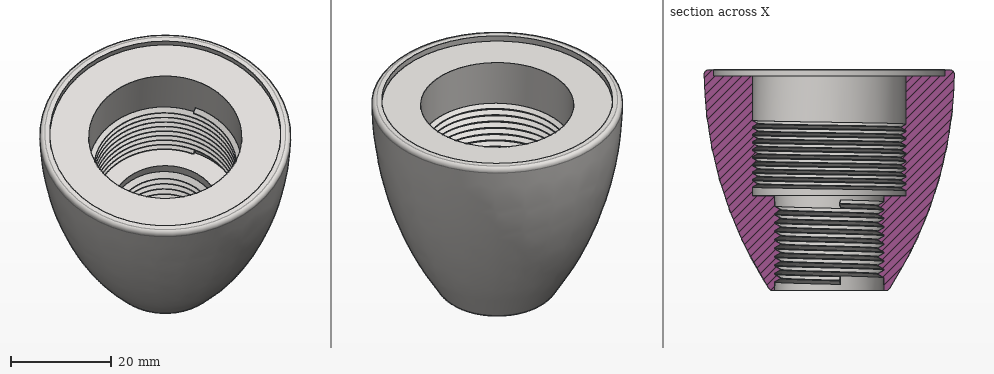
import cadquery as cq
import math

height = 44.0
max_radius = 25.0
rim_round = 1.0
waist_radius = 21.05
waist_height = 19.4
base_radius = 12.15
base_bevel_width = 0.5
base_bevel_height = 0.5

recess_radius = max_radius - 2 * rim_round
recess_depth = 1.25
recess_floor = height - recess_depth

socket_radius = 15.25
socket_crest_radius = 14.25
socket_pitch = 1.5
socket_entry_depth = 8.85
socket_turns = 9
socket_thread_end_angle = 90.0
socket_floor = recess_floor - socket_entry_depth - (socket_turns + 1) * socket_pitch

hole_radius = 10.85
hole_crest_radius = 9.65
hole_pitch = 1.7
hole_turns = 9
hole_thread_end_angle = -12.0

crest_flat = 0.15
flank_angle = 30.0
root_overlap = 0.1


def make_body():
    """Revolve the curved cup outline around Z."""
    shoulder = height - rim_round
    corner = rim_round * math.sqrt(0.5)
    return (
        cq.Workplane("XZ")
        .moveTo(0, 0)
        .lineTo(base_radius - base_bevel_width, 0)
        .lineTo(base_radius, base_bevel_height)
        .threePointArc((waist_radius, waist_height), (max_radius, shoulder))
        .threePointArc(
            (max_radius - rim_round + corner, shoulder + corner),
            (max_radius - rim_round, height),
        )
        .lineTo(0, height)
        .close()
        .revolve(360, (0, 0, 0), (0, 1, 0))
    )


def bore(radius, bottom, top):
    """Cylinder to remove between two heights."""
    return cq.Workplane("XY").workplane(offset=bottom).circle(radius).extrude(top - bottom)


def thread_ridge(root_radius, crest_radius, pitch, turns, top, end_angle):
    """Right-handed internal ridge whose upper end reaches height top at end_angle."""
    ridge_root = root_radius + root_overlap
    rise = math.tan(math.radians(flank_angle))
    half_crest = crest_flat / 2
    half_root = half_crest + (ridge_root - crest_radius) * rise
    half_wall = half_crest + (root_radius - crest_radius) * rise
    helix = cq.Wire.makeHelix(pitch, turns * pitch, root_radius)
    ridge = (
        cq.Workplane("XZ")
        .polyline([
            (ridge_root, -half_root),
            (crest_radius, -half_crest),
            (crest_radius, half_crest),
            (ridge_root, half_root),
        ])
        .close()
        .sweep(cq.Workplane(obj=helix), isFrenet=True)
    )
    start_height = top - half_wall - turns * pitch
    return ridge.rotate((0, 0, 0), (0, 0, 1), end_angle).translate((0, 0, start_height))


body = (
    make_body()
    .cut(bore(recess_radius, recess_floor, height))
    .cut(bore(socket_radius, socket_floor, recess_floor))
    .cut(bore(hole_radius, 0, socket_floor))
)
socket_thread = thread_ridge(
    socket_radius, socket_crest_radius, socket_pitch, socket_turns,
    recess_floor - socket_entry_depth, socket_thread_end_angle,
)
hole_thread = thread_ridge(
    hole_radius, hole_crest_radius, hole_pitch, hole_turns,
    socket_floor - hole_pitch / 2, hole_thread_end_angle,
)
result = body.union(socket_thread).union(hole_thread)